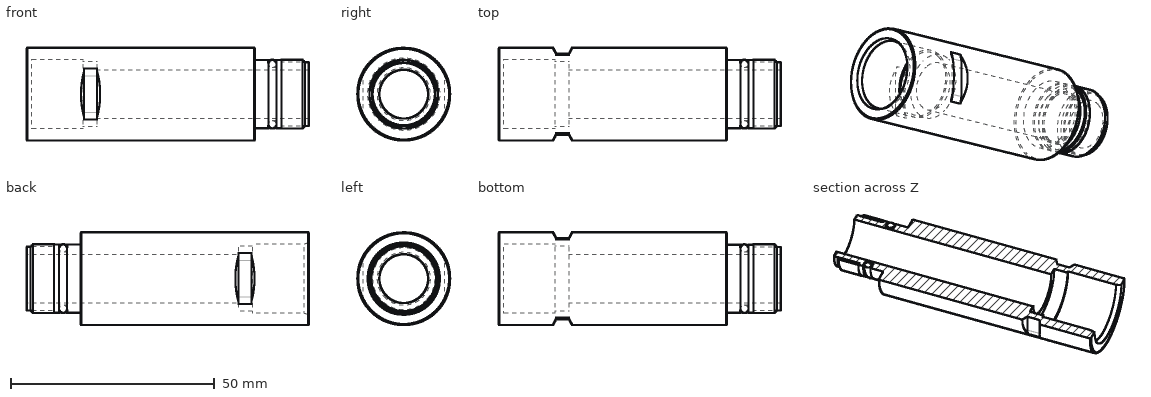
import cadquery as cq

total_length = 69.4
shoulder_x = 56.15
groove_start_x = 59.4
thread_start_x = 62.6

housing_radius = 11.415
housing_chamfer = 0.3
neck_radius = 8.4
core_radius = 7.85
core_chamfer = 0.2

mouth_radius = 8.9
mouth_depth = 1.25
socket_radius = 8.5
socket_depth = 13.9
drill_radius = 8.0
drill_depth = 17.35
through_radius = 6.0

sleeve_radius = 8.5

seal_section_radius = 1.0
seal_center_radius = sleeve_radius - seal_section_radius
groove_width = 2 * seal_section_radius
groove_floor_radius = sleeve_radius - groove_width
seal_x = groove_start_x + seal_section_radius

sleeve_chamfer = sleeve_radius - core_radius
sleeve_end_x = 68.35

notch_x = 15.75
notch_floor_half_length = 1.6
notch_mouth_half_length = 2.35
notch_floor_y = 10.0
notch_floor_half_height = 4.5
notch_half_height = 6.25
notch_end_y = (housing_radius**2 - notch_half_height**2) ** 0.5


def revolve_about_x(profile):
    return profile.close().revolve(360, (0, 0, 0), (1, 0, 0))


def ring(start_x, end_x, inner_radius, outer_radius):
    """Plain tube along X between two positions."""
    return (
        cq.Workplane("YZ", origin=(start_x, 0, 0))
        .circle(outer_radius)
        .circle(inner_radius)
        .extrude(end_x - start_x)
    )


def make_outer_shape():
    outline = (
        cq.Workplane("XY")
        .moveTo(0, 0)
        .lineTo(0, housing_radius - housing_chamfer)
        .lineTo(housing_chamfer, housing_radius)
        .lineTo(shoulder_x - housing_chamfer, housing_radius)
        .lineTo(shoulder_x, housing_radius - housing_chamfer)
        .lineTo(shoulder_x, neck_radius)
        .lineTo(thread_start_x, neck_radius)
        .lineTo(thread_start_x, core_radius)
        .lineTo(total_length - core_chamfer, core_radius)
        .lineTo(total_length, core_radius - core_chamfer)
        .lineTo(total_length, 0)
    )
    return revolve_about_x(outline)


def make_stepped_bore():
    outline = (
        cq.Workplane("XY")
        .moveTo(0, 0)
        .lineTo(0, mouth_radius)
        .lineTo(mouth_depth, socket_radius)
        .lineTo(socket_depth, socket_radius)
        .lineTo(socket_depth, drill_radius)
        .lineTo(drill_depth, drill_radius)
        .lineTo(drill_depth, through_radius)
        .lineTo(total_length, through_radius)
        .lineTo(total_length, 0)
    )
    return revolve_about_x(outline)


def make_notch_cutter():
    """Cutter for the +Y notch: flared end walls above a floor with sloping top and bottom margins."""
    flare = (
        cq.Workplane("XY", origin=(notch_x, 0, 0))
        .moveTo(-notch_floor_half_length, notch_floor_y)
        .lineTo(notch_floor_half_length, notch_floor_y)
        .lineTo(notch_mouth_half_length, housing_radius)
        .lineTo(-notch_mouth_half_length, housing_radius)
        .close()
        .extrude(notch_half_height, both=True)
    )
    floor = (
        cq.Workplane("YZ", origin=(notch_x, 0, 0))
        .moveTo(housing_radius, -notch_half_height)
        .lineTo(notch_end_y, -notch_half_height)
        .lineTo(notch_floor_y, -notch_floor_half_height)
        .lineTo(notch_floor_y, notch_floor_half_height)
        .lineTo(notch_end_y, notch_half_height)
        .lineTo(housing_radius, notch_half_height)
        .close()
        .extrude(notch_floor_half_length, both=True)
    )
    return flare.union(floor)


def make_housing():
    seal_groove = ring(groove_start_x, groove_start_x + groove_width, groove_floor_radius, housing_radius)
    body = make_outer_shape().cut(make_stepped_bore()).cut(seal_groove)
    notch = make_notch_cutter()
    return body.cut(notch).cut(notch.mirror("XZ"))


def make_seal_ring():
    return (
        cq.Workplane("XY")
        .center(seal_x, seal_center_radius)
        .circle(seal_section_radius)
        .revolve(360, (0, -seal_center_radius, 0), (1, -seal_center_radius, 0))
    )


def make_thread_sleeve():
    outline = (
        cq.Workplane("XY")
        .moveTo(thread_start_x, core_radius)
        .lineTo(thread_start_x, sleeve_radius)
        .lineTo(sleeve_end_x - sleeve_chamfer, sleeve_radius)
        .lineTo(sleeve_end_x, core_radius)
    )
    return revolve_about_x(outline)


housing = make_housing()
seal_ring = make_seal_ring()
thread_sleeve = make_thread_sleeve()

result = cq.Compound.makeCompound([housing.val(), seal_ring.val(), thread_sleeve.val()])